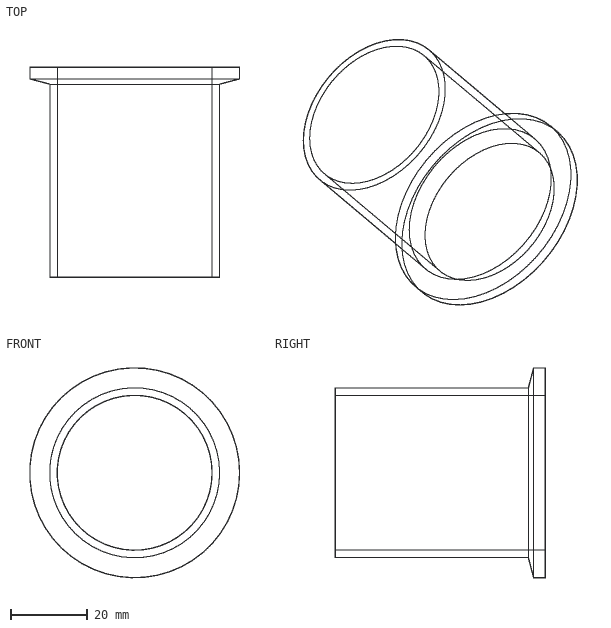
import cadquery as cq

length = 55.0
flange_diameter = 55.0
tube_outer_diameter = 44.5
bore_diameter = 40.5
rim_width = 3.1
flange_width = 4.45

flange_radius = flange_diameter / 2
tube_radius = tube_outer_diameter / 2
bore_radius = bore_diameter / 2

half_section = [
    (bore_radius, 0),
    (tube_radius, 0),
    (tube_radius, length - flange_width),
    (flange_radius, length - rim_width),
    (flange_radius, length),
    (bore_radius, length),
]

result = (
    cq.Workplane("XY")
    .polyline(half_section)
    .close()
    .revolve(360, (0, 0, 0), (0, 1, 0))
)